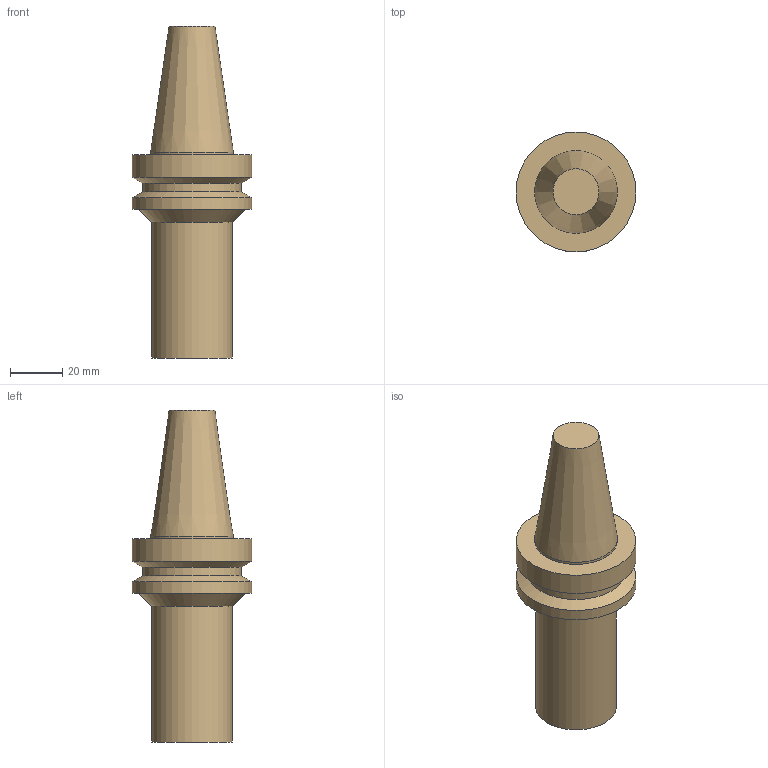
import cadquery as cq
import math


gauge_diameter = 31.75
taper_length = 48.4
taper_ratio = 7 / 24
taper_tip_diameter = gauge_diameter - taper_length * taper_ratio

flange_diameter = 46.0
flange_top_z = -1.0
flange_bottom_z = -22.0

groove_floor_diameter = 38.0
groove_center_z = -13.6
groove_opening_width = 8.0
groove_wall_angle = 30.0
groove_depth = (flange_diameter - groove_floor_diameter) / 2
groove_wall_height = groove_depth * math.tan(math.radians(groove_wall_angle))
groove_floor_width = groove_opening_width - 2 * groove_wall_height

nose_diameter = 31.0
nose_bottom_z = -79.0
cone_height = 5.0
cone_top_diameter = nose_diameter + 2 * cone_height
cone_bottom_z = flange_bottom_z - cone_height


def revolved(stations):
    """Solid of revolution about Z through (diameter, z) stations."""
    outline = [(diameter / 2, z) for diameter, z in stations]
    top_center = (0, outline[0][1])
    bottom_center = (0, outline[-1][1])
    profile = cq.Workplane("XZ").polyline([top_center] + outline + [bottom_center]).close()
    return profile.revolve(360, (0, 0, 0), (0, 1, 0))


def taper_shank():
    """Tapered shank with a short straight neck down to the flange."""
    return revolved([
        (taper_tip_diameter, taper_length),
        (gauge_diameter, 0),
        (gauge_diameter, flange_top_z),
    ])


def grooved_flange():
    """Flange with the gripper V-groove in its rim."""
    half_opening = groove_opening_width / 2
    half_floor = groove_floor_width / 2
    return revolved([
        (flange_diameter, flange_top_z),
        (flange_diameter, groove_center_z + half_opening),
        (groove_floor_diameter, groove_center_z + half_floor),
        (groove_floor_diameter, groove_center_z - half_floor),
        (flange_diameter, groove_center_z - half_opening),
        (flange_diameter, flange_bottom_z),
    ])


def nose():
    """Cone under the flange followed by the straight nose cylinder."""
    return revolved([
        (cone_top_diameter, flange_bottom_z),
        (nose_diameter, cone_bottom_z),
        (nose_diameter, nose_bottom_z),
    ])


result = taper_shank().union(grooved_flange()).union(nose())